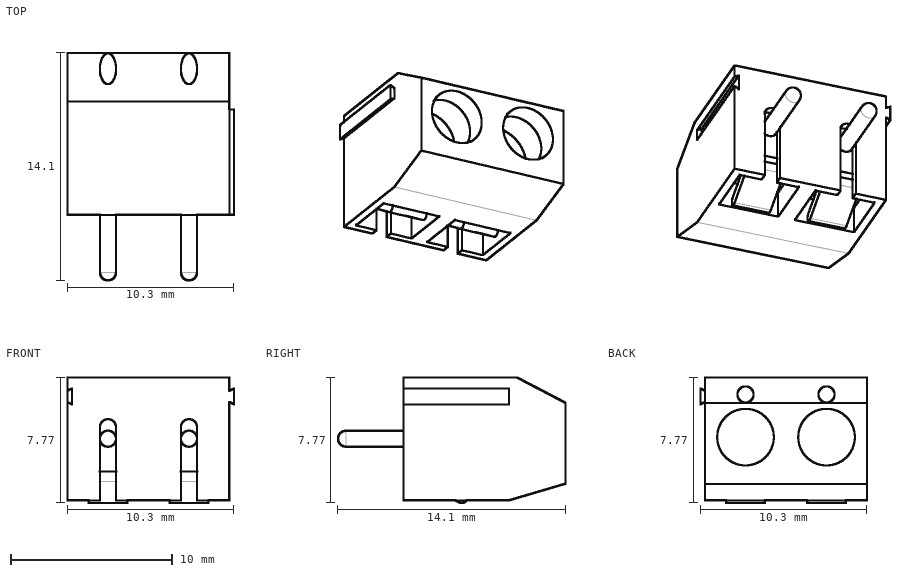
import cadquery as cq
import math


terminal_count = 2
terminal_pitch = 5.0
terminal_x = [(i + 0.5) * terminal_pitch for i in range(terminal_count)]

housing_width = terminal_count * terminal_pitch
housing_depth = 10.0
housing_height = 7.6
top_slope_run = 3.0
top_slope_drop = 1.57
bottom_slope_run = 3.48
bottom_slope_rise = 1.03

dovetail_z = 6.42
dovetail_reach = 0.28
dovetail_neck_width = 0.7
dovetail_wide_width = 0.98
dovetail_length = 6.52

overall_depth = 14.05
pin_diameter = 1.0
pin_radius = pin_diameter / 2
pin_z = 3.81
pin_tip_y = housing_depth - overall_depth
pin_inner_end_y = 2.81

slot_width = pin_diameter
slot_top_z = 5.02
slot_depth = 0.56

clamp_width = 2.39
clamp_thickness = 0.67
clamp_radius = clamp_thickness / 2
clamp_protrusion = 0.17
clamp_setback = 0.4
clamp_tip_y = 3.6

pocket_width = 3.9
pocket_top_z = 1.8
pocket_end_y = 4.15

screw_z = 3.9
screw_mouth_diameter = 3.5
screw_mouth_depth = 1.5
screw_bore_diameter = 4.0
screw_bore_depth = 3.93

probe_diameter = 1.0
probe_lip = 0.01
probe_depth = screw_bore_depth
probe_z = housing_height - top_slope_drop + probe_lip + probe_diameter / 2


def rod(x, z, diameter, start_y, end_y):
    """Cylinder along Y between two Y positions."""
    return (
        cq.Workplane("XZ", origin=(x, start_y, z))
        .circle(diameter / 2)
        .extrude(start_y - end_y)
    )


def housing_block():
    slope_top_y = housing_depth - top_slope_run
    slope_bottom_y = housing_depth - bottom_slope_run
    return (
        cq.Workplane("YZ")
        .moveTo(0, 0)
        .lineTo(slope_bottom_y, 0)
        .lineTo(housing_depth, bottom_slope_rise)
        .lineTo(housing_depth, housing_height - top_slope_drop)
        .lineTo(slope_top_y, housing_height)
        .lineTo(0, housing_height)
        .close()
        .extrude(housing_width)
    )


def dovetail(wall_x):
    """Dovetail bar running back from the front face, its neck on the given wall plane."""
    neck = dovetail_neck_width / 2
    wide = dovetail_wide_width / 2
    return (
        cq.Workplane("XZ", origin=(wall_x, 0, dovetail_z))
        .polyline([(0, -neck), (dovetail_reach, -wide), (dovetail_reach, wide), (0, neck)])
        .close()
        .extrude(-dovetail_length)
    )


def front_slot(x):
    """Slot with a round top, open at the front and at the bottom."""
    half_width = slot_width / 2
    shoulder_z = slot_top_z - half_width
    return (
        cq.Workplane("XZ", origin=(x, 0, 0))
        .moveTo(-half_width, 0)
        .lineTo(half_width, 0)
        .lineTo(half_width, shoulder_z)
        .threePointArc((0, slot_top_z), (-half_width, shoulder_z))
        .close()
        .extrude(-slot_depth)
    )


def clamp_pocket(x):
    """Pocket behind the slot, open at the bottom."""
    return (
        cq.Workplane("XY", origin=(x, slot_depth, 0))
        .box(pocket_width, pocket_end_y - slot_depth, pocket_top_z, centered=(True, False, False))
    )


def screw_hole(x):
    mouth_end_y = housing_depth - screw_mouth_depth
    bore_end_y = housing_depth - screw_bore_depth
    mouth = rod(x, screw_z, screw_mouth_diameter, mouth_end_y, housing_depth)
    bore = rod(x, screw_z, screw_bore_diameter, bore_end_y, mouth_end_y)
    return mouth.union(bore)


def probe_hole(x):
    return rod(x, probe_z, probe_diameter, housing_depth - probe_depth, housing_depth)


def contact_pin(x):
    """Pin with a hemispherical tip."""
    dome_y = pin_tip_y + pin_radius
    shank = rod(x, pin_z, pin_diameter, dome_y, pin_inner_end_y)
    dome = cq.Workplane("XY").sphere(pin_radius).translate((x, dome_y, pin_z))
    return shank.union(dome)


def wire_clamp(x):
    """Sloping leaf with round front and back edges."""
    front_y = slot_depth + clamp_setback + clamp_radius
    front_z = pocket_top_z - clamp_radius
    tip_z = clamp_radius - clamp_protrusion
    run = clamp_tip_y - front_y
    drop = front_z - tip_z
    slope = math.degrees(math.atan2(drop, run))
    leaf_length = math.hypot(run, drop) + clamp_thickness
    return (
        cq.Workplane("YZ")
        .slot2D(leaf_length, clamp_thickness, -slope)
        .extrude(clamp_width / 2, both=True)
        .translate((x, (front_y + clamp_tip_y) / 2, (front_z + tip_z) / 2))
    )


pins = [contact_pin(x) for x in terminal_x]
clamps = [wire_clamp(x) for x in terminal_x]

housing = housing_block().cut(dovetail(0)).union(dovetail(housing_width))
for x in terminal_x:
    housing = housing.cut(front_slot(x)).cut(clamp_pocket(x))
    housing = housing.cut(screw_hole(x)).cut(probe_hole(x))
for pin in pins:
    housing = housing.cut(pin)

bodies = [housing, *pins, *clamps]
result = cq.Compound.makeCompound([body.val() for body in bodies])